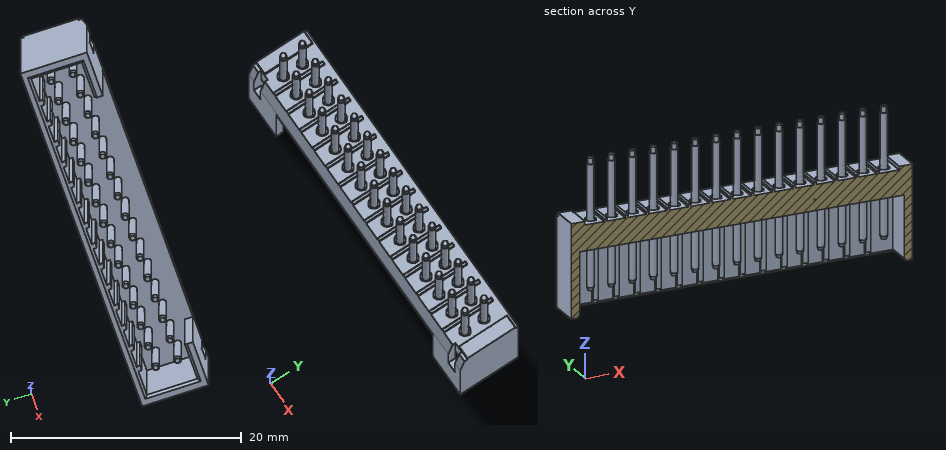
import cadquery as cq

length = 32.6
depth = 6.1
deck_height = 8.65
bevel_depth = 0.45
bevel_bottom = 6.75

end_wall = 0.8
front_wall = 0.75
back_wall = 0.72
ceiling = 6.15
lead_in = 0.23
lead_in_height = 0.75

guide_width = 0.5
guide_depth = 0.3

window_length = 24.12
slot_width = 1.0
slot_bottom = 4.4

columns = 15
row_length = 28.0
pitch = row_length / (columns - 1)
pin_diameter = 0.65
pin_top = 14.4
pin_bottom = 2.02
tip_diameter = 0.5
tip_length = 0.55
end_taper_height = 0.3
end_diameter = 0.45
row_center = front_wall + (depth - back_wall - front_wall) / 2
relief_diameter = 1.0
relief_depth = 0.33

pad_length = 1.3
pad_height = 0.33
pad_back_margin = 0.3
pad_front_margin = 0.78
deck_rib_width = 0.3
deck_rib_height = 0.23
deck_rib_back_margin = 0.5

column_positions = [(i - (columns - 1) / 2) * pitch for i in range(columns)]
gap_positions = [x + pitch / 2 for x in column_positions[:-1]]
pin_positions = [(x, row_center + side * pitch / 2) for x in column_positions for side in (-1, 1)]


def block(x_center, width, y_range, z_range):
    """Box centred on x_center, between the given Y and Z limits."""
    y_start, y_end = y_range
    z_start, z_end = z_range
    size = (width, y_end - y_start, z_end - z_start)
    return cq.Workplane("XY").box(*size, centered=(True, False, False)).translate((x_center, y_start, z_start))


def make_shell():
    """Outer housing with the sloping bevel along its top front edge."""
    profile = [
        (0, 0),
        (depth, 0),
        (depth, deck_height),
        (bevel_depth, deck_height),
        (0, bevel_bottom),
    ]
    return cq.Workplane("YZ").polyline(profile).close().extrude(length / 2, both=True)


def make_cavity():
    """Cavity with the guide ribs left standing, widened by a 45 degree lead-in at its mouth."""
    cavity_length = length - 2 * end_wall
    cavity_back = depth - back_wall
    cavity = block(0, cavity_length, (front_wall, cavity_back), (0, ceiling))
    for x in gap_positions:
        cavity = cavity.cut(block(x, guide_width, (cavity_back - guide_depth, cavity_back), (0, ceiling)))
    mouth = (
        cq.Workplane("XY")
        .center(0, (front_wall + cavity_back) / 2)
        .rect(cavity_length + 2 * lead_in, cavity_back - front_wall + 2 * lead_in)
        .extrude(lead_in_height, taper=45)
    )
    return cavity.union(mouth)


def make_pin():
    """Round pin with a stepped top and a tapered lower end, standing on the origin's axis."""
    radius = pin_diameter / 2
    tip_radius = tip_diameter / 2
    profile = [
        (0, pin_bottom),
        (end_diameter / 2, pin_bottom),
        (radius, pin_bottom + end_taper_height),
        (radius, pin_top - tip_length),
        (tip_radius, pin_top - tip_length),
        (tip_radius, pin_top),
        (0, pin_top),
    ]
    return cq.Workplane("XZ").polyline(profile).close().revolve(360, (0, 0), (0, 1))


housing = make_shell().cut(make_cavity())

housing = housing.cut(block(0, window_length, (0, front_wall), (0, ceiling)))
slot_x = length / 2 - end_wall - slot_width / 2
for side in (-1, 1):
    housing = housing.cut(block(side * slot_x, slot_width, (0, front_wall), (slot_bottom, deck_height)))

pad_x = (length - pad_length) / 2
pad_span = (pad_front_margin, depth - pad_back_margin)
for side in (-1, 1):
    housing = housing.union(block(side * pad_x, pad_length, pad_span, (deck_height, deck_height + pad_height)))
rib_span = (bevel_depth, depth - deck_rib_back_margin)
for x in gap_positions:
    housing = housing.union(block(x, deck_rib_width, rib_span, (deck_height, deck_height + deck_rib_height)))

reliefs = (
    cq.Workplane("XY", origin=(0, 0, deck_height))
    .pushPoints(pin_positions)
    .circle(relief_diameter / 2)
    .extrude(-relief_depth)
)
result = housing.cut(reliefs)

pin = make_pin()
for x, y in pin_positions:
    result = result.union(pin.translate((x, y, 0)))